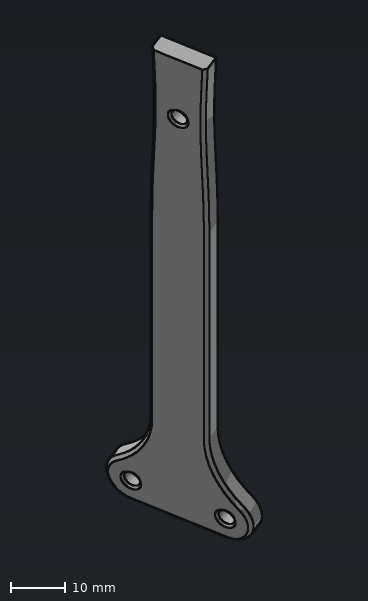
import cadquery as cq
import math

height = 124.0
thickness = 4.0
edge_chamfer = 0.7

ear_radius = 5.6
foot_hole_spacing = 20.0
ear_x = foot_hole_spacing / 2
ear_z = ear_radius

shaft_half_width = 6.2
waist_half_width = 5.5
shaft_bottom_z = 24.5
shaft_top_z = 80.0
shoulder_arc_height = 11.5
waist_low_z = 101.8
waist_high_z = 116.7

hole_diameter = 3.3
hole_chamfer = 0.5
top_hole_z = 108.1

ear_offset = ear_x - shaft_half_width
flare_rise = shaft_bottom_z - ear_z
flare_radius = (ear_offset**2 + flare_rise**2 - ear_radius**2) / (2 * (ear_radius + ear_offset))
flare_center_x = shaft_half_width + flare_radius
ear_angle = math.atan2(flare_rise, flare_center_x - ear_x)
ear_end = (ear_x + ear_radius * math.cos(ear_angle), ear_z + ear_radius * math.sin(ear_angle))
flare_mid = (
    flare_center_x - flare_radius * math.cos(ear_angle / 2),
    shaft_bottom_z - flare_radius * math.sin(ear_angle / 2),
)
ear_mid_angle = (ear_angle - math.pi / 2) / 2
ear_mid = (ear_x + ear_radius * math.cos(ear_mid_angle), ear_z + ear_radius * math.sin(ear_mid_angle))

waist_center_z = (waist_low_z + waist_high_z) / 2
waist_half_length = (waist_high_z - waist_low_z) / 2
taper_start_z = shaft_top_z + shoulder_arc_height
taper_length = waist_low_z - taper_start_z
taper_slope = (shaft_half_width - waist_half_width) / (
    shoulder_arc_height / 2 + taper_length + waist_half_length / 2
)
shoulder_half_width = shaft_half_width - taper_slope * shoulder_arc_height / 2
waist_end_half_width = waist_half_width + taper_slope * waist_half_length / 2
top_half_width = waist_end_half_width + taper_slope * (height - waist_high_z)


def half_plate():
    """The +X half of the plate, cut at the symmetry plane."""
    outline = (
        cq.Workplane("XZ")
        .lineTo(ear_x, 0)
        .threePointArc(ear_mid, ear_end)
        .threePointArc(flare_mid, (shaft_half_width, shaft_bottom_z))
        .lineTo(shaft_half_width, shaft_top_z)
        .tangentArcPoint((shoulder_half_width, taper_start_z), relative=False)
        .lineTo(waist_end_half_width, waist_low_z)
        .threePointArc((waist_half_width, waist_center_z), (waist_end_half_width, waist_high_z))
        .lineTo(top_half_width, height)
        .lineTo(0, height)
        .close()
    )
    return outline.extrude(thickness)


def chamfer_front_rim(plate):
    """Bevel the front outline everywhere except along the flat top end."""
    top_edge = cq.selectors.BoxSelector(
        (-ear_x, -2 * thickness, height - edge_chamfer / 2),
        (ear_x, thickness, height + edge_chamfer / 2),
    )
    rim = plate.faces("<Y").edges(cq.selectors.InverseSelector(top_edge))
    return rim.chamfer(edge_chamfer)


def hole_cutter(x, z):
    """Through hole with a conical lead-in at the front face."""
    radius = hole_diameter / 2
    mouth_radius = radius + hole_chamfer
    profile = (
        cq.Workplane("XY")
        .lineTo(radius, 0)
        .lineTo(radius, hole_chamfer - thickness)
        .lineTo(mouth_radius, -thickness)
        .lineTo(0, -thickness)
        .close()
    )
    return profile.revolve(360, (0, 0, 0), (0, 1, 0)).translate((x, 0, z))


half = half_plate()
plate = half.union(half.mirror("YZ")).clean()
result = chamfer_front_rim(plate)
for hole_x, hole_z in [(-ear_x, ear_z), (ear_x, ear_z), (0, top_hole_z)]:
    result = result.cut(hole_cutter(hole_x, hole_z))